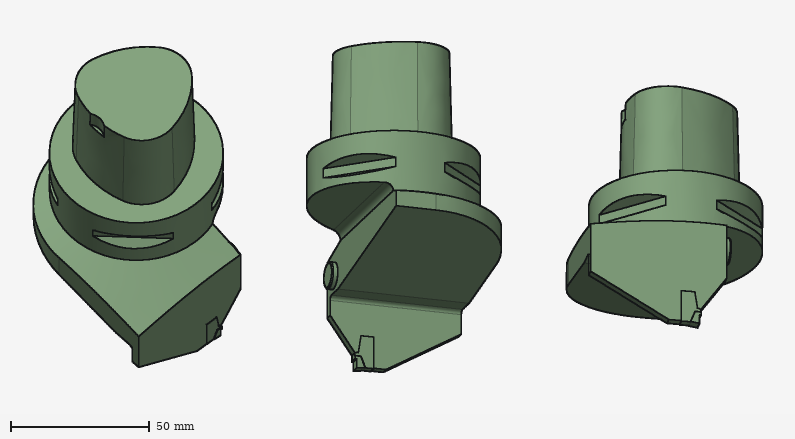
import cadquery as cq
import math

TOTAL_DEPTH = 67.0

SHANK_HEIGHT = 38.0
SHANK_TAPER = 1 / 40
LOBE_REACH = 23.5
FLANK_REACH = 20.3
LOBE_CENTRE = 9.0
NOTCH_RADIUS = 6.7
NOTCH_FLOOR_Y = -18.1
NOTCH_DEPTH = 6.6

FLANGE_RADIUS = 63.0 / 2
FLANGE_HEIGHT = 23.0
UNDERCUT_EDGE_Z = -18.1
UNDERCUT_ANGLE = 5.0
UNDERCUT_FILLET = 3.5

GROOVE_COUNT = 4
GROOVE_FLOOR = 27.9
GROOVE_FLOOR_WIDTH = 3.5
GROOVE_FLANK_ANGLE = 30.0
GROOVE_Z = -12.0

BACK_Y = 10.2
FRONT_Y = -40.0
LEFT_X = -33.0
CORNER_RADIUS = 35.0
ARM_TOP_ANGLE = 15.0
ARM_LEFT_BOTTOM_Z = -29.8
ARM_FLAT_START_X = 32.4
ARM_FLAT_Z = -40.6
BLADE_THICKNESS = 3.5
BLADE_FILLET = 1.5
BLADE_BOTTOM_Z = -66.3
BLADE_BACK_Z = -47.9
BLADE_FRONT_Z = -49.6
BLADE_FOOT_Y = -11.2
JAW_TIP = (0.75, -61.2)

SCREW_RADIUS = 10.0 / 2
SCREW_HEIGHT = 2.2
SCREW_CHAMFER = 0.5
SCREW_X = 37.7
SCREW_Z = -34.0

INSERT_WIDTH = 4.0
INSERT_OUTER_X = 45.06
EDGE_Y = 0.15
SEAT_BOTTOM_Y = -6.55
SEAT_TOP_Z = -54.4
CLAMP_TOP_Y = -1.6
CLAMP_END = (-0.6, -60.8)
INSERT_FOOT_Z = -66.5
HEAD_TOP_Y = -1.5
HEAD_FOOT_Y = -3.2
HEAD_TOP_Z = -62.3
HEAD_STEP_Z = -63.5

INSERT_MID_X = INSERT_OUTER_X - INSERT_WIDTH / 2
BLADE_INNER_X = INSERT_MID_X - BLADE_THICKNESS / 2
BLADE_OUTER_X = INSERT_MID_X + BLADE_THICKNESS / 2
CONE_MARGIN = 1.0
ARM_REACH = math.hypot(BLADE_OUTER_X, FRONT_Y) + CONE_MARGIN


def polar(radius, degrees):
    angle = math.radians(degrees)
    return (radius * math.cos(angle), radius * math.sin(angle))


def add_shank_outline(plane, inset):
    """Three lobe arcs and three flank arcs, all tangent, moved inward by inset."""
    lobe_radius = LOBE_REACH - LOBE_CENTRE
    gap = FLANK_REACH - lobe_radius
    flank_centre = (LOBE_CENTRE**2 - gap**2) / (2 * gap - LOBE_CENTRE)
    flank_radius = FLANK_REACH + flank_centre
    centre_distance = flank_radius - lobe_radius
    across = (flank_radius - inset) * LOBE_CENTRE * math.sin(math.radians(60)) / centre_distance
    along = math.sqrt((flank_radius - inset) ** 2 - across**2) - flank_centre
    joint_reach = math.hypot(along, across)
    joint_angle = math.degrees(math.atan2(across, along))

    outline = plane.moveTo(*polar(joint_reach, -90 - joint_angle))
    for flank_angle in (-90, 30, 150):
        outline = outline.threePointArc(
            polar(FLANK_REACH - inset, flank_angle), polar(joint_reach, flank_angle + joint_angle)
        )
        outline = outline.threePointArc(
            polar(LOBE_REACH - inset, flank_angle + 60),
            polar(joint_reach, flank_angle + 120 - joint_angle),
        )
    return outline.close()


def make_shank():
    base = add_shank_outline(cq.Workplane("XY"), 0)
    top_plane = base.workplane(offset=SHANK_HEIGHT)
    shank = add_shank_outline(top_plane, SHANK_HEIGHT * SHANK_TAPER).loft(ruled=True)
    notch = (
        cq.Workplane("XY", origin=(0, NOTCH_FLOOR_Y - NOTCH_RADIUS, SHANK_HEIGHT - NOTCH_DEPTH))
        .circle(NOTCH_RADIUS)
        .extrude(NOTCH_DEPTH)
    )
    return shank.cut(notch)


def make_gripper_groove(angle):
    """Trapezoidal channel, tangential to the flange, widening outward."""
    depth = FLANGE_RADIUS - GROOVE_FLOOR
    floor_half = GROOVE_FLOOR_WIDTH / 2
    mouth_half = floor_half + depth * math.tan(math.radians(GROOVE_FLANK_ANGLE))
    return (
        cq.Workplane("XZ")
        .polyline(
            [
                (GROOVE_FLOOR, GROOVE_Z - floor_half),
                (FLANGE_RADIUS, GROOVE_Z - mouth_half),
                (FLANGE_RADIUS, GROOVE_Z + mouth_half),
                (GROOVE_FLOOR, GROOVE_Z + floor_half),
            ]
        )
        .close()
        .extrude(FLANGE_RADIUS, both=True)
        .rotate((0, 0, 0), (0, 0, 1), angle)
    )


def make_flange():
    flange = cq.Workplane("XY").circle(FLANGE_RADIUS).extrude(-FLANGE_HEIGHT)
    root_z = UNDERCUT_EDGE_Z - (FLANGE_RADIUS - BACK_Y) * math.tan(math.radians(UNDERCUT_ANGLE))
    lowest_z = -FLANGE_HEIGHT - UNDERCUT_FILLET
    undercut = (
        cq.Workplane("YZ")
        .polyline(
            [
                (BACK_Y, lowest_z),
                (FLANGE_RADIUS, lowest_z),
                (FLANGE_RADIUS, UNDERCUT_EDGE_Z),
                (BACK_Y, root_z),
            ]
        )
        .close()
        .extrude(FLANGE_RADIUS, both=True)
        .edges(cq.selectors.NearestToPointSelector((0, BACK_Y, root_z)))
        .fillet(UNDERCUT_FILLET)
    )
    flange = flange.cut(undercut)
    for index in range(GROOVE_COUNT):
        flange = flange.cut(make_gripper_groove((index + 0.5) * 360 / GROOVE_COUNT))
    return flange


def make_arm():
    """Arm plate and hanging blade: the common part of four simple shapes."""
    plan = (
        cq.Workplane("XY", origin=(0, 0, -TOTAL_DEPTH))
        .moveTo(LEFT_X, BACK_Y)
        .lineTo(LEFT_X, FRONT_Y + CORNER_RADIUS)
        .radiusArc((LEFT_X + CORNER_RADIUS, FRONT_Y), -CORNER_RADIUS)
        .lineTo(BLADE_OUTER_X, FRONT_Y)
        .lineTo(BLADE_OUTER_X, BACK_Y)
        .close()
        .extrude(TOTAL_DEPTH)
    )
    side = (
        cq.Workplane("XZ", origin=(0, BACK_Y, 0))
        .moveTo(LEFT_X, 0)
        .lineTo(LEFT_X, ARM_LEFT_BOTTOM_Z)
        .lineTo(ARM_FLAT_START_X, ARM_FLAT_Z)
        .lineTo(BLADE_INNER_X - BLADE_FILLET, ARM_FLAT_Z)
        .radiusArc((BLADE_INNER_X, ARM_FLAT_Z - BLADE_FILLET), BLADE_FILLET)
        .lineTo(BLADE_INNER_X, BLADE_BOTTOM_Z)
        .lineTo(BLADE_OUTER_X, BLADE_BOTTOM_Z)
        .lineTo(BLADE_OUTER_X, 0)
        .close()
        .extrude(BACK_Y - FRONT_Y)
    )
    blade = (
        cq.Workplane("YZ", origin=(LEFT_X, 0, 0))
        .polyline(
            [
                (BACK_Y, 0),
                (BACK_Y, BLADE_BACK_Z),
                JAW_TIP,
                (EDGE_Y, HEAD_TOP_Z),
                (EDGE_Y, BLADE_BOTTOM_Z),
                (BLADE_FOOT_Y, BLADE_BOTTOM_Z),
                (FRONT_Y, BLADE_FRONT_Z),
                (FRONT_Y, 0),
            ]
        )
        .close()
        .extrude(BLADE_OUTER_X - LEFT_X)
    )
    fall = (ARM_REACH - FLANGE_RADIUS) * math.tan(math.radians(ARM_TOP_ANGLE))
    below_cone = (
        cq.Workplane("XZ")
        .polyline(
            [
                (0, -TOTAL_DEPTH),
                (ARM_REACH, -TOTAL_DEPTH),
                (ARM_REACH, -FLANGE_HEIGHT - fall),
                (FLANGE_RADIUS, -FLANGE_HEIGHT),
                (0, -FLANGE_HEIGHT),
            ]
        )
        .close()
        .revolve(360, (0, 0), (0, 1))
    )
    return plan.intersect(side).intersect(blade).intersect(below_cone)


def make_screw_head():
    return (
        cq.Workplane("XZ", origin=(SCREW_X, BACK_Y, SCREW_Z))
        .circle(SCREW_RADIUS)
        .extrude(-SCREW_HEIGHT)
        .faces(">Y")
        .chamfer(SCREW_CHAMFER)
    )


def extrude_across_blade(points, width):
    """Prism with a (Y, Z) outline, centred on the blade's thickness."""
    plane = cq.Workplane("YZ", origin=(INSERT_MID_X, 0, 0))
    return plane.polyline(points).close().extrude(width / 2, both=True)


def make_insert():
    """Shank of the insert flush with the blade, and a wider cutting head."""
    shank = extrude_across_blade(
        [
            (CLAMP_TOP_Y, SEAT_TOP_Z),
            CLAMP_END,
            JAW_TIP,
            (JAW_TIP[0], HEAD_TOP_Z),
            (EDGE_Y, HEAD_TOP_Z),
            (EDGE_Y, INSERT_FOOT_Z),
            (SEAT_BOTTOM_Y, INSERT_FOOT_Z),
            (SEAT_BOTTOM_Y, SEAT_TOP_Z),
        ],
        BLADE_THICKNESS,
    )
    head = extrude_across_blade(
        [
            (JAW_TIP[0], HEAD_TOP_Z),
            (JAW_TIP[0], HEAD_STEP_Z),
            (EDGE_Y, HEAD_STEP_Z),
            (EDGE_Y, -TOTAL_DEPTH),
            (HEAD_FOOT_Y, INSERT_FOOT_Z),
            (HEAD_TOP_Y, HEAD_TOP_Z),
        ],
        INSERT_WIDTH,
    )
    return shank.union(head)


def make_holder(insert_body):
    """One-piece tool holder with a seat that matches the insert."""
    body = make_flange().union(make_shank()).union(make_arm()).union(make_screw_head())
    return body.cut(insert_body)


insert = make_insert()
holder = make_holder(insert)

result = cq.Compound.makeCompound([*holder.solids().vals(), *insert.solids().vals()])